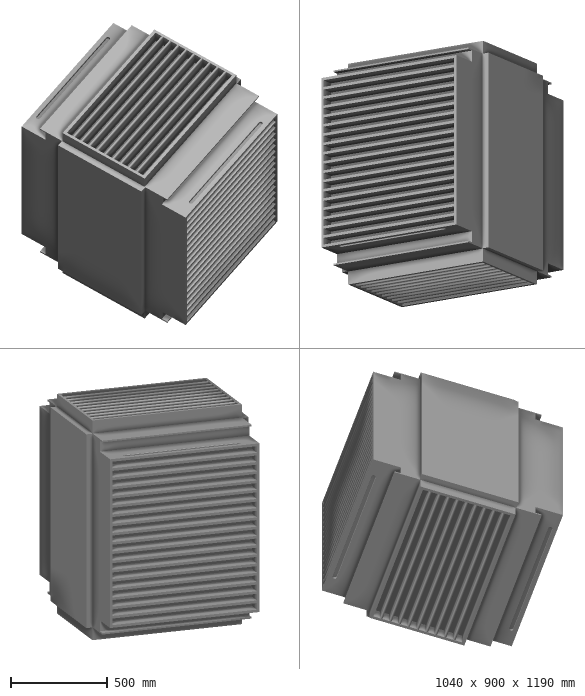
import cadquery as cq

body_width = 738.0
body_depth = 830.0
body_height = 1050.0
panel_width = 528.0
overall_depth = 900.0

lip_span = 807.0
lip_thickness = 8.0

end_duct_width = 520.0
overall_height = 1190.0
side_duct_height = 914.0
overall_width = 1040.0

louvre_pitch = 50.0
blade_thickness = 14.0
louvre_opening = louvre_pitch - blade_thickness
louvre_length = body_depth - 2 * blade_thickness
louvre_depth = (overall_height - body_height) / 2
end_louvre_count = 10
side_louvre_count = 18

slot_length = 650.0
slot_width = 20.0
slot_depth = 12.0
slot_chamfer = 1.0
slot_inset = 36.0
slot_center_x = overall_width / 2 - slot_inset


def make_shell():
    """Solid cabinet with its panels, lips and ducts, centred on the origin."""
    shell = cq.Workplane("XY").box(body_width, body_depth, body_height)
    cover_panels = cq.Workplane("XY").box(panel_width, overall_depth, body_height)
    end_ducts = cq.Workplane("XY").box(end_duct_width, body_depth, overall_height)
    side_ducts = cq.Workplane("XY").box(overall_width, body_depth, side_duct_height)
    shell = shell.union(cover_panels).union(end_ducts).union(side_ducts)

    lip_center_z = (body_height - lip_thickness) / 2
    for side in (-1, 1):
        lip = cq.Workplane("XY").box(lip_span, body_depth, lip_thickness)
        shell = shell.union(lip.translate((0, 0, side * lip_center_z)))
    return shell


def make_end_louvres():
    """Mouth of the top duct, less the round-tipped blades that stand in it."""
    mouth_z = overall_height / 2
    floor_z = mouth_z - louvre_depth
    mouth_width = end_louvre_count * louvre_pitch - blade_thickness
    tip_radius = blade_thickness / 2

    mouth = (
        cq.Workplane("XY")
        .workplane(offset=floor_z)
        .rect(mouth_width, louvre_length)
        .extrude(louvre_depth)
    )
    blade = (
        cq.Workplane("XZ")
        .moveTo(-tip_radius, floor_z)
        .lineTo(-tip_radius, mouth_z - tip_radius)
        .threePointArc((0, mouth_z), (tip_radius, mouth_z - tip_radius))
        .lineTo(tip_radius, floor_z)
        .close()
        .extrude(louvre_length / 2, both=True)
    )
    blade_count = end_louvre_count - 1
    first_blade_x = -(blade_count - 1) * louvre_pitch / 2
    for index in range(blade_count):
        mouth = mouth.cut(blade.translate((first_blade_x + index * louvre_pitch, 0, 0)))
    return mouth


def make_side_louvres():
    """Square-edged openings in the +X duct, spaced along Z."""
    return (
        cq.Workplane("YZ")
        .workplane(offset=overall_width / 2 - louvre_depth)
        .rarray(12, louvre_pitch, 1, side_louvre_count)
        .rect(louvre_length, louvre_opening)
        .extrude(louvre_depth)
    )


def make_wall_slots():
    """Round-ended slots with chamfered rims in the top walls of both side ducts."""
    mouth_z = side_duct_height / 2
    bodies = (
        cq.Workplane("XY")
        .workplane(offset=mouth_z - slot_depth)
        .rarray(2 * slot_center_x, 12, 2, 1)
        .slot2D(slot_length, slot_width, 90)
        .extrude(slot_depth)
    )
    rims = (
        cq.Workplane("XY")
        .workplane(offset=mouth_z)
        .rarray(2 * slot_center_x, 12, 2, 1)
        .slot2D(slot_length + 2 * slot_chamfer, slot_width + 2 * slot_chamfer, 90)
        .extrude(-slot_chamfer, taper=45)
    )
    return bodies.union(rims)


result = make_shell()
for cutter, mirror_plane in (
    (make_end_louvres(), "XY"),
    (make_side_louvres(), "YZ"),
    (make_wall_slots(), "XY"),
):
    result = result.cut(cutter).cut(cutter.mirror(mirror_plane))